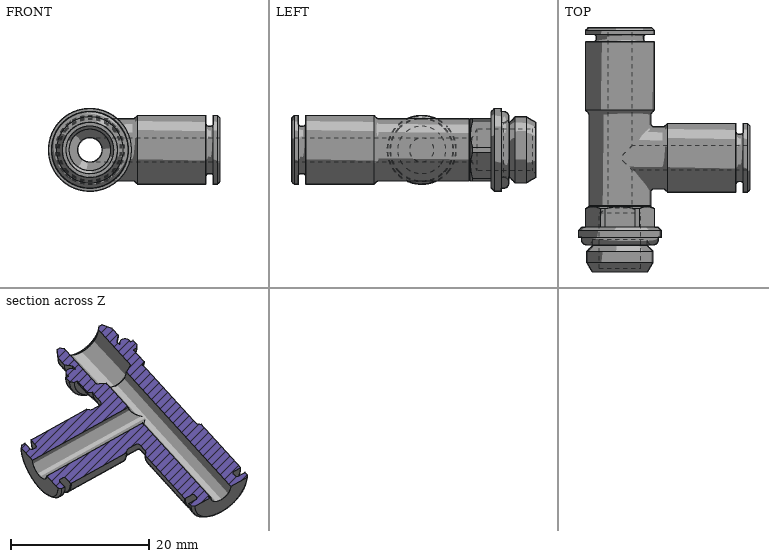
import cadquery as cq
import math


port_reach = 18.8
stem_reach = 16.5
tube_radius = 9.0 / 2
through_radius = 3.5 / 2

port_radius = 10.0 / 2
sleeve_radius = 6.9 / 2
flange_thickness = 1.0
flange_chamfer = 0.4
body_start = 2.0
body_end = 11.9
body_chamfer = 0.1
sleeve_fillet = 0.3
shoulder_fillet = 0.5

crotch_fillet = 0.4

tube_end = 6.85
tube_end_chamfer = 0.1
hex_start = 7.0
hex_sides = 6
hex_across_flats = 9.0
hex_corner_radius = 10.0 / 2
hex_chamfer_angle = 30.0

collar_start = 10.0
collar_end = 11.5
collar_radius = 12.0 / 2
collar_chamfer = 0.5
seal_outer_radius = 5.57
seal_end = 12.6
groove_radius = 7.9 / 2
thread_radius = 9.6 / 2
thread_start = 13.5
thread_end = 15.1
thread_chamfer_angle = 30.0

socket_radius = 6.0 / 2
socket_mouth_radius = 6.9 / 2
socket_mouth_depth = 0.5
socket_depth = 8.5
socket_tip_angle = 60.0


def cone_rise(run_length, angle):
    """Distance a slope moves sideways over a length, at an angle in degrees."""
    return run_length * math.tan(math.radians(angle))


def revolve_along_y(profile):
    """Closed half-profile of (radius, y) points turned about the Y axis."""
    return profile.close().revolve(360, (0, 0, 0), (0, 1, 0))


def make_port():
    """Push-in port on the +Y axis, with its tube reaching the crossing."""
    flange_back = port_reach - flange_thickness
    body_top = port_reach - body_start
    body_bottom = port_reach - body_end
    shoulder_height = port_radius - tube_radius

    root_y = body_bottom - shoulder_height
    half_turn = math.radians(45.0 / 2)
    tangent = shoulder_fillet * math.tan(half_turn)
    slant_tangent = tangent * math.sqrt(0.5)
    middle_drop = shoulder_fillet * (1 - math.cos(half_turn))
    middle_shift = shoulder_fillet * math.sin(half_turn)
    blend_low = (tube_radius, root_y - tangent)
    blend_middle = (tube_radius + middle_drop, root_y - tangent + middle_shift)
    blend_high = (tube_radius + slant_tangent, root_y + slant_tangent)

    sleeve_foot = sleeve_radius + sleeve_fillet
    sleeve_sag = sleeve_fillet * (1 - math.sqrt(0.5))

    profile = (
        cq.Workplane("XY")
        .moveTo(0, 0)
        .lineTo(tube_radius, 0)
        .lineTo(*blend_low)
        .threePointArc(blend_middle, blend_high)
        .lineTo(port_radius, body_bottom)
        .lineTo(port_radius, body_top - body_chamfer)
        .lineTo(port_radius - body_chamfer, body_top)
        .lineTo(sleeve_foot, body_top)
        .threePointArc(
            (sleeve_radius + sleeve_sag, body_top + sleeve_sag),
            (sleeve_radius, body_top + sleeve_fillet),
        )
        .lineTo(sleeve_radius, flange_back - sleeve_fillet)
        .threePointArc(
            (sleeve_radius + sleeve_sag, flange_back - sleeve_sag),
            (sleeve_foot, flange_back),
        )
        .lineTo(port_radius, flange_back)
        .lineTo(port_radius, port_reach - flange_chamfer)
        .lineTo(port_radius - flange_chamfer, port_reach)
        .lineTo(0, port_reach)
    )
    return revolve_along_y(profile)


def make_stem_tube():
    """Plain tube from the crossing to the hexagon, with a necked end."""
    neck_radius = tube_radius - tube_end_chamfer
    profile = (
        cq.Workplane("XY")
        .moveTo(0, 0)
        .lineTo(tube_radius, 0)
        .lineTo(tube_radius, -tube_end)
        .lineTo(neck_radius, -tube_end - tube_end_chamfer)
        .lineTo(neck_radius, -collar_start)
        .lineTo(0, -collar_start)
    )
    return revolve_along_y(profile)


def make_hexagon():
    """Hexagon with flats facing +-Z, its corners turned round and chamfered."""
    neck_radius = tube_radius - tube_end_chamfer
    chamfer_length = cone_rise(hex_corner_radius - neck_radius, hex_chamfer_angle)
    corner_diameter = hex_across_flats / math.cos(math.pi / hex_sides)
    prism = (
        cq.Workplane("XZ", origin=(0, -hex_start, 0))
        .polygon(hex_sides, corner_diameter)
        .extrude(collar_start - hex_start)
    )
    envelope = (
        cq.Workplane("XY")
        .moveTo(0, -hex_start)
        .lineTo(neck_radius, -hex_start)
        .lineTo(hex_corner_radius, -hex_start - chamfer_length)
        .lineTo(hex_corner_radius, -collar_start)
        .lineTo(0, -collar_start)
    )
    return prism.intersect(revolve_along_y(envelope))


def make_threaded_end():
    """Collar, groove and simplified thread with tapered ends."""
    end_radius = thread_radius - cone_rise(stem_reach - thread_end, thread_chamfer_angle)
    groove_end = thread_start - (thread_radius - groove_radius)
    profile = (
        cq.Workplane("XY")
        .moveTo(0, -collar_start)
        .lineTo(collar_radius - collar_chamfer, -collar_start)
        .lineTo(collar_radius, -collar_start - collar_chamfer)
        .lineTo(collar_radius, -collar_end)
        .lineTo(groove_radius, -collar_end)
        .lineTo(groove_radius, -groove_end)
        .lineTo(thread_radius, -thread_start)
        .lineTo(thread_radius, -thread_end)
        .lineTo(end_radius, -stem_reach)
        .lineTo(0, -stem_reach)
    )
    return revolve_along_y(profile)


def make_seal_ring():
    """Round-section seal ring resting in the groove, partly set into the collar."""
    section_radius = (seal_outer_radius - groove_radius) / 2
    center_radius = groove_radius + section_radius
    section = (
        cq.Workplane("XY")
        .moveTo(-center_radius, section_radius - seal_end)
        .circle(section_radius)
    )
    return section.revolve(360, (0, 0, 0), (0, 1, 0))


def make_stem_bore():
    """Socket in the threaded end: flared mouth, straight wall, conical floor."""
    mouth_end = -stem_reach + socket_mouth_depth
    floor_y = -stem_reach + socket_depth
    tip_length = (socket_radius - through_radius) / math.tan(math.radians(socket_tip_angle))
    profile = (
        cq.Workplane("XY")
        .moveTo(0, -stem_reach)
        .lineTo(socket_mouth_radius, -stem_reach)
        .lineTo(socket_radius, mouth_end)
        .lineTo(socket_radius, floor_y)
        .lineTo(through_radius, floor_y + tip_length)
        .lineTo(0, floor_y + tip_length)
    )
    return revolve_along_y(profile)


def to_branch(shape):
    """Turn a shape from the +Y axis onto the +X axis."""
    return shape.rotate((0, 0, 0), (0, 0, 1), -90)


def make_tee():
    """Run and branch tubes with the mitred edges between them rounded."""
    tee = make_port().union(make_stem_tube()).union(to_branch(make_port())).clean()
    inner = tube_radius - crotch_fillet
    mitre_zone = cq.selectors.BoxSelector((0, -inner, -inner), (inner, inner, inner))
    return tee.edges(mitre_zone).fillet(crotch_fillet)


def make_through_bore():
    """Narrow bore along the whole run and out through the branch."""
    run_bore = (
        cq.Workplane("XZ", origin=(0, port_reach, 0))
        .circle(through_radius)
        .extrude(port_reach + stem_reach)
    )
    branch_bore = cq.Workplane("YZ").circle(through_radius).extrude(port_reach)
    return run_bore.union(branch_bore)


body = make_tee().union(make_hexagon()).union(make_threaded_end()).union(make_seal_ring())
result = body.cut(make_stem_bore()).cut(make_through_bore())